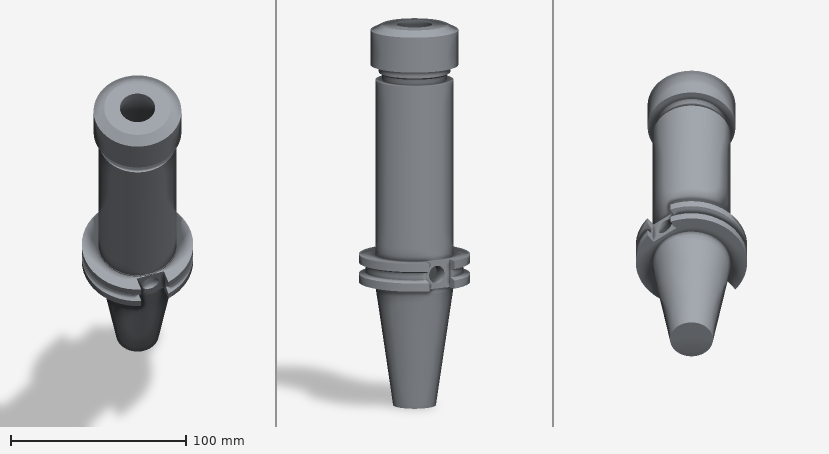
import cadquery as cq

total_height = 220.6

nut_dia = 50.0
nut_face_dia = 38.0
nut_chamfer_height = 3.0
nut_height = 23.4
collar_dia = 40.8
collar_height = 4.2
neck_dia = 36.8
neck_taper_height = 1.0
neck_height = 3.3
bore_dia = 20.0
bore_depth = 44.1

body_dia = 44.5
shoulder_dia = 45.2
shoulder_height = 0.7

flange_dia = 63.5
flange_bottom = 71.5
flange_height = 16.0
groove_dia = 56.0
groove_mouth = 6.6
groove_floor = 4.2

shank_height = 68.5
shank_tip_dia = 24.5

slot_width = 16.3
left_slot_floor = 25.0
right_slot_floor = 22.7
slot_hole_dia = 10.1
slot_hole_depth = 8.8

flange_top = flange_bottom + flange_height
flange_mid = flange_bottom + flange_height / 2
nut_bottom = total_height - nut_height
collar_bottom = nut_bottom - collar_height
neck_top = collar_bottom - neck_taper_height
body_top = neck_top - neck_height


def turned_body():
    """Revolve the half outline, listed as (diameter, height) from tip to nut."""
    outline = [
        (0, 0),
        (shank_tip_dia, 0),
        (body_dia, shank_height),
        (body_dia, flange_bottom),
        (flange_dia, flange_bottom),
        (flange_dia, flange_mid - groove_mouth / 2),
        (groove_dia, flange_mid - groove_floor / 2),
        (groove_dia, flange_mid + groove_floor / 2),
        (flange_dia, flange_mid + groove_mouth / 2),
        (flange_dia, flange_top),
        (shoulder_dia, flange_top),
        (shoulder_dia, flange_top + shoulder_height),
        (body_dia, flange_top + shoulder_height),
        (body_dia, body_top),
        (neck_dia, body_top),
        (neck_dia, neck_top),
        (collar_dia, collar_bottom),
        (collar_dia, nut_bottom),
        (nut_dia, nut_bottom),
        (nut_dia, total_height - nut_chamfer_height),
        (nut_face_dia, total_height),
        (0, total_height),
    ]
    points = [(diameter / 2, height) for diameter, height in outline]
    return cq.Workplane("XZ").polyline(points).close().revolve(360, (0, 0), (0, 1))


def drive_slot(side, floor):
    """Slot through the flange on one side (-1 or +1 in X), with a blind hole in its floor."""
    slot_length = flange_dia / 2
    slot = cq.Workplane("XY").box(slot_length, slot_width, flange_height)
    slot = slot.translate((side * (floor + slot_length / 2), 0, flange_mid))
    hole_plane = cq.Plane(origin=(side * floor, 0, flange_mid), normal=(-side, 0, 0))
    hole = cq.Workplane(hole_plane).circle(slot_hole_dia / 2).extrude(slot_hole_depth)
    return slot.union(hole)


def nut_bore():
    """Blind bore down from the nut face."""
    return cq.Workplane("XY").workplane(offset=total_height).circle(bore_dia / 2).extrude(-bore_depth)


result = turned_body().cut(nut_bore())
for side, floor in ((-1, left_slot_floor), (1, right_slot_floor)):
    result = result.cut(drive_slot(side, floor))